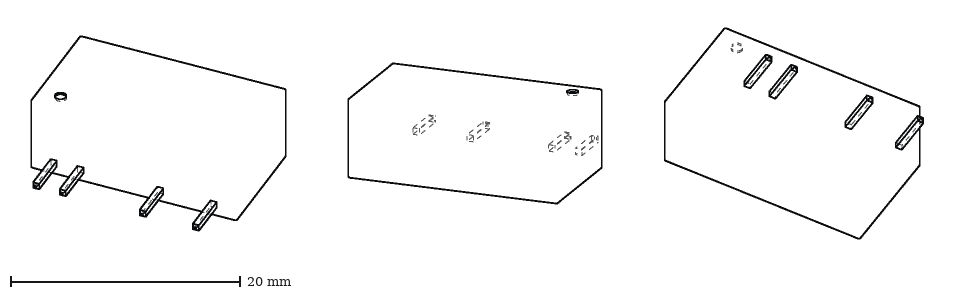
import cadquery as cq

body_length = 19.7
overall_depth = 14.7
body_height = 7.3
pin_length = 4.0
body_depth = overall_depth - pin_length
edge_radius = 0.2

pin_size = 0.6
pin_tip_chamfer = 0.2
pin_height = 1.26
pin_pitch = 2.55
first_pin_x = 2.25
pin_slots = (0, 1, 4, 6)
pin_embed = 0.4

marker_diameter = 1.0
marker_x = 2.15
marker_y = 1.65
marker_depth = 0.2


def make_body():
    """Block with its lower left front corner at the origin and all edges rounded."""
    block = cq.Workplane("XY").box(body_length, body_depth, body_height, centered=False)
    return block.edges().fillet(edge_radius)


def make_pin(x):
    """Square pin along -Y with a chamfered tip, rooted slightly inside the body."""
    return (
        cq.Workplane("XZ", origin=(x, pin_embed, pin_height))
        .rect(pin_size, pin_size)
        .extrude(pin_embed + pin_length)
        .faces("<Y")
        .chamfer(pin_tip_chamfer)
    )


def make_marker():
    """Cylinder that cuts the first pin marker."""
    return (
        cq.Workplane("XY", origin=(marker_x, marker_y, body_height - marker_depth))
        .circle(marker_diameter / 2)
        .extrude(marker_depth)
    )


result = make_body().cut(make_marker())
for slot in pin_slots:
    result = result.union(make_pin(first_pin_x + slot * pin_pitch))